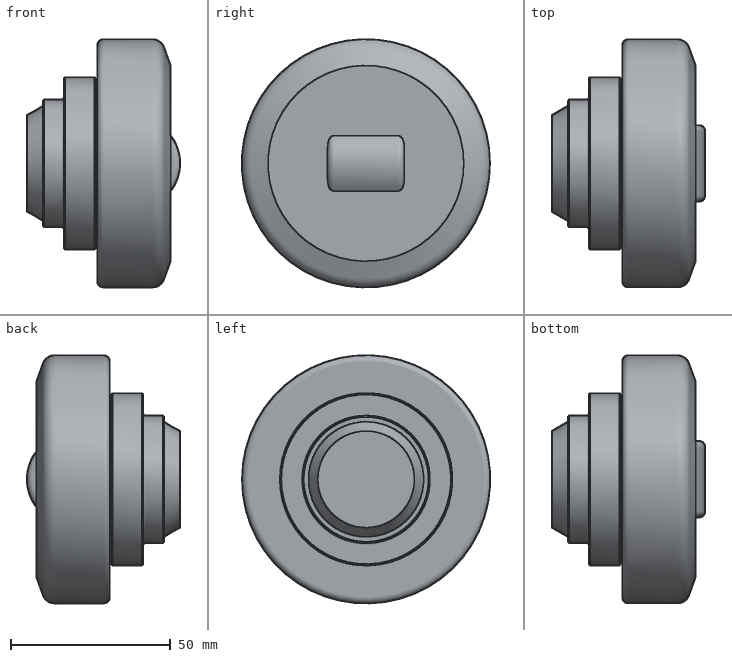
import cadquery as cq
import math

total_length = 48.0
nose_x = -total_length / 2

nose_length = 5.0
nose_tip_radius = 15.1
nose_base_radius = 18.0

collar_length = 6.5
collar_radius = 20.0
collar_edge = 0.5
collar_root_fillet = 0.5

flange_length = 10.1
flange_radius = 27.0
flange_edge = 0.5

neck_length = 0.4
neck_radius = 23.1

wheel_width = 23.0
wheel_radius = 38.85
wheel_inner_round = 2.0
wheel_outer_round = 4.0
wheel_face_radius = 30.6
dish_angle = math.radians(20)

side_roller_radius = 14.0
side_roller_width = 24.0
side_roller_round = 2.0

collar_x = nose_x + nose_length
flange_x = collar_x + collar_length
neck_x = flange_x + flange_length
wheel_x = neck_x + neck_length
wheel_face_x = wheel_x + wheel_width


def revolve_about_x(profile):
    """Full turn of an XY profile about the X axis."""
    return profile.revolve(360, (0, 0, 0), (1, 0, 0))


def make_disc(start_x, length, radius):
    """Plain cylinder along X."""
    return cq.Workplane("YZ", origin=(start_x, 0, 0)).circle(radius).extrude(length)


def make_nose():
    """Cone that widens from the -X tip to the small collar."""
    profile = [
        (nose_x, 0),
        (nose_x, nose_tip_radius),
        (collar_x, nose_base_radius),
        (collar_x, 0),
    ]
    return revolve_about_x(cq.Workplane("XY").polyline(profile).close())


def make_collar():
    """Collar with a chamfered -X edge and a concave fillet at its +X root."""
    collar = make_disc(collar_x, collar_length, collar_radius).edges("<X").chamfer(collar_edge)
    fillet_start_x = flange_x - collar_root_fillet
    fillet_outer_r = collar_radius + collar_root_fillet
    fillet_mid_offset = collar_root_fillet * math.sqrt(0.5)
    root = (
        cq.Workplane("XY")
        .moveTo(fillet_start_x, 0)
        .lineTo(fillet_start_x, collar_radius)
        .threePointArc(
            (fillet_start_x + fillet_mid_offset, fillet_outer_r - fillet_mid_offset),
            (flange_x, fillet_outer_r),
        )
        .lineTo(flange_x, 0)
        .close()
    )
    return collar.union(revolve_about_x(root))


def make_flange():
    """Large collar, chamfered on both edges."""
    return make_disc(flange_x, flange_length, flange_radius).edges().chamfer(flange_edge)


def make_wheel():
    """Wheel with a rounded -X rim, and a +X rim that rounds into a shallow cone."""
    round_center_r = wheel_radius - wheel_outer_round
    cone_start_r = round_center_r + wheel_outer_round * math.sin(dish_angle)
    cone_start_x = wheel_face_x - (cone_start_r - wheel_face_radius) * math.tan(dish_angle)
    round_center_x = cone_start_x - wheel_outer_round * math.cos(dish_angle)
    mid_angle = (dish_angle + math.pi / 2) / 2
    round_mid = (
        round_center_x + wheel_outer_round * math.cos(mid_angle),
        round_center_r + wheel_outer_round * math.sin(mid_angle),
    )
    inner_round_mid = wheel_inner_round * (1 - math.sqrt(0.5))
    profile = (
        cq.Workplane("XY")
        .moveTo(wheel_x, 0)
        .lineTo(wheel_x, wheel_radius - wheel_inner_round)
        .threePointArc(
            (wheel_x + inner_round_mid, wheel_radius - inner_round_mid),
            (wheel_x + wheel_inner_round, wheel_radius),
        )
        .lineTo(round_center_x, wheel_radius)
        .threePointArc(round_mid, (cone_start_x, cone_start_r))
        .lineTo(wheel_face_x, wheel_face_radius)
        .lineTo(wheel_face_x, 0)
        .close()
    )
    return revolve_about_x(profile)


def make_side_roller():
    """Round-edged roller across the wheel, reaching the +X end of the part."""
    center_x = total_length / 2 - side_roller_radius
    return (
        cq.Workplane("XZ", origin=(center_x, 0, 0))
        .circle(side_roller_radius)
        .extrude(side_roller_width / 2, both=True)
        .edges()
        .fillet(side_roller_round)
    )


result = (
    make_nose()
    .union(make_collar())
    .union(make_flange())
    .union(make_disc(neck_x, neck_length, neck_radius))
    .union(make_wheel())
    .union(make_side_roller())
)